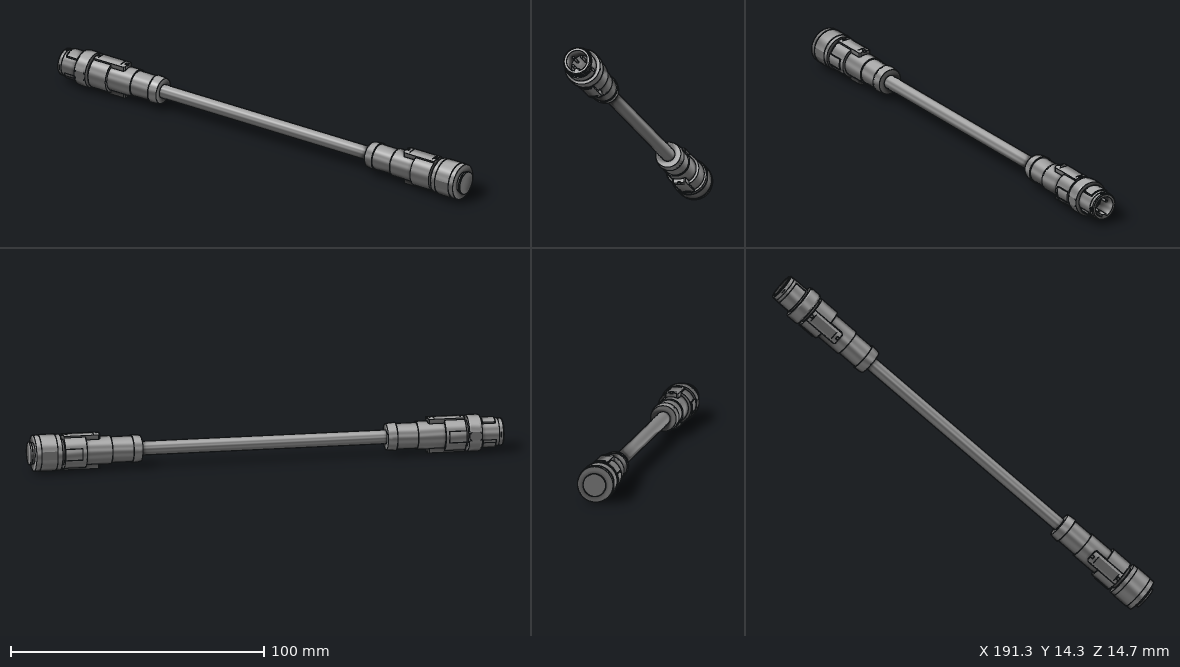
import cadquery as cq
import math

length = 191.3

cable_radius = 5.5 / 2
sleeve_radius = 5.2
collar_radius = 11.3 / 2
grip_radius = 6.7
nut_radius = 14.7 / 2
neck_radius = 5.2

cut_margin = 2.0

nose_start = 2.0
plug_nut_start = 9.2
plug_nut_end = 14.3
plug_grip_start = 15.5
plug_grip_end = 23.7
plug_collar_end = 34.6
plug_bead_start = 43.0
plug_end = 46.9

socket_end = 146.2
socket_bead_end = 149.8
socket_collar_start = 158.4
socket_grip_start = 169.0
socket_grip_end = 177.7
socket_nut_start = 179.0
socket_band_start = 181.0
socket_band_end = 187.5
socket_nut_end = 189.5

nose_radius = collar_radius
tip_radius = 5.5
tip_chamfer = 0.4
cavity_radius = 4.2
cavity_depth = 8.0
pin_radius = 0.48
pin_offset = 1.7
pin_start = 1.0
pin_embed = 0.2
key_half_width = 1.0
key_crest = 3.3
notch_length = 1.1
notch_depth = 0.2
pad_radius = 6.1
pad_start = 3.3
pad_end = 8.5
top_pad_half_width = 7.5 / 2
bottom_pad_half_width = 10.5 / 2

nut_chamfer_length = 0.8
nut_chamfer_height = 0.2
nut_flat = 14.3 / 2
socket_rim_radius = nut_flat

spigot_radius = 4.2
spigot_lip_radius = 4.5
spigot_lip_length = 0.8

ridge_radius = 7.3
ridge_half_width = 2.7
ridge_flat = 7.0
ridge_length = 14.7
ridge_nut_margin = 1.5
ridge_cable_margin = 2.5
ridge_corner = 0.5
ridge_mark_half_width = 0.5
ridge_mark_length = 1.1

grip_pad_radius = 7.0
grip_pad_length = 6.9
grip_pad_half_height = 2.3


def cylinder(start, end, radius):
    """Cylinder on the X axis between two stations."""
    return cq.Workplane("YZ").workplane(offset=start).circle(radius).extrude(end - start)


def block(x_range, y_range, z_range):
    """Box given by its limits along each axis."""
    size = [high - low for low, high in (x_range, y_range, z_range)]
    corner = (x_range[0], y_range[0], z_range[0])
    return cq.Workplane("XY").box(*size, centered=False).translate(corner)


def bead(sleeve_side, cable_side):
    """Raised bead at the cable end of a connector, rounded down to the sleeve radius."""
    bead_length = abs(cable_side - sleeve_side)
    bead_drop = collar_radius - sleeve_radius
    arc_radius = (bead_length**2 + bead_drop**2) / (2 * bead_drop)
    middle = (sleeve_side + cable_side) / 2
    middle_drop = arc_radius - math.sqrt(arc_radius**2 - (bead_length / 2) ** 2)
    profile = (
        cq.Workplane("XY")
        .moveTo(sleeve_side, 0)
        .lineTo(sleeve_side, collar_radius)
        .threePointArc((middle, collar_radius - middle_drop), (cable_side, sleeve_radius))
        .lineTo(cable_side, 0)
        .close()
    )
    return profile.revolve(360, (0, 0, 0), (1, 0, 0))


def nut(start, end):
    """Coupling nut with both rims bevelled and a flat on the +Y and -Y sides."""
    bevel_radius = nut_radius - nut_chamfer_height
    profile = cq.Workplane("XY").polyline(
        [
            (start, 0),
            (start, bevel_radius),
            (start + nut_chamfer_length, nut_radius),
            (end - nut_chamfer_length, nut_radius),
            (end, bevel_radius),
            (end, 0),
        ]
    )
    return profile.close().revolve(360, (0, 0, 0), (1, 0, 0))


def side_flats(start, end):
    """Material outside the two nut flats, to be cut away."""
    z_range = (-nut_radius, nut_radius)
    right = block((start, end), (nut_flat, nut_radius + cut_margin), z_range)
    return right.union(right.mirror("XZ"))


def ridges(start, nut_at_start):
    """Opposed grip ridges on +Z and -Z, each crest with a flat panel and a notch at both ends."""
    end = start + ridge_length
    strip = block((start, end), (-ridge_half_width, ridge_half_width), (-ridge_radius, ridge_radius))
    cable_face = ">X" if nut_at_start else "<X"
    strip = strip.faces(cable_face).edges("|Z").chamfer(ridge_corner)
    body = cylinder(start, end, ridge_radius).intersect(strip)
    margins = [ridge_nut_margin, ridge_cable_margin]
    if not nut_at_start:
        margins.reverse()
    panel_range = (start + margins[0], end - margins[1])
    panel = block(panel_range, (-ridge_half_width, ridge_half_width), (ridge_flat, nut_radius))
    for mark_start in (start, end - ridge_mark_length):
        mark = block(
            (mark_start, mark_start + ridge_mark_length),
            (-ridge_mark_half_width, ridge_mark_half_width),
            (grip_radius, nut_radius),
        )
        panel = panel.union(mark)
    return body.cut(panel).cut(panel.mirror("XY"))


def grip_pad(start):
    """Curved pad on the +Y side of a grip."""
    end = start + grip_pad_length
    window = block((start, end), (0, grip_pad_radius), (-grip_pad_half_height, grip_pad_half_height))
    return cylinder(start, end, grip_pad_radius).intersect(window)


def nose_pads():
    """Curved pads on the top and bottom of the plug nose."""
    ring = cylinder(pad_start, pad_end, pad_radius)
    top = block(
        (pad_start, pad_end),
        (-top_pad_half_width, top_pad_half_width),
        (0, pad_radius),
    )
    bottom = block(
        (pad_start, pad_end),
        (-bottom_pad_half_width, bottom_pad_half_width),
        (-pad_radius, 0),
    )
    return ring.intersect(top.union(bottom))


def tip_notches():
    """Four shallow flats around the rim of the plug nose."""
    side = 2 * (nose_radius - notch_depth)
    rim = cylinder(0, notch_length, nose_radius + cut_margin)
    core = cq.Workplane("YZ").rect(side, side).extrude(notch_length)
    return rim.cut(core)


def plug_cavity():
    """Round cavity in the nose, less the coding key that stands on its lower wall."""
    key = block(
        (0, cavity_depth),
        (-key_half_width, key_half_width),
        (-cavity_radius, -key_crest),
    )
    return cylinder(0, cavity_depth, cavity_radius).cut(key)


def pins():
    """Three contact pins standing on the cavity floor."""
    places = [
        (pin_offset, pin_offset),
        (-pin_offset, pin_offset),
        (pin_offset, -pin_offset),
    ]
    plane = cq.Workplane("YZ").workplane(offset=pin_start)
    return plane.pushPoints(places).circle(pin_radius).extrude(cavity_depth - pin_start + pin_embed)


def plug():
    nose = cylinder(0, nose_start, tip_radius).faces("<X").chamfer(tip_chamfer)
    body = (
        nose.union(cylinder(nose_start, plug_nut_start, nose_radius))
        .cut(tip_notches())
        .union(nose_pads())
        .union(nut(plug_nut_start, plug_nut_end).cut(side_flats(plug_nut_start, plug_nut_end)))
        .union(cylinder(plug_nut_end, plug_grip_start, neck_radius))
        .union(cylinder(plug_grip_start, plug_grip_end, grip_radius))
        .union(cylinder(plug_grip_end, plug_collar_end, collar_radius))
        .union(cylinder(plug_collar_end, plug_bead_start, sleeve_radius))
        .union(bead(plug_bead_start, plug_end))
        .union(ridges(plug_grip_start, True))
        .union(grip_pad(plug_grip_start))
    )
    return body.cut(plug_cavity()).union(pins())


def socket():
    lip_start = length - spigot_lip_length
    band = cylinder(socket_band_start, socket_band_end, nut_radius)
    band = band.cut(side_flats(socket_band_start, socket_band_end))
    return (
        bead(socket_bead_end, socket_end)
        .union(cylinder(socket_bead_end, socket_collar_start, sleeve_radius))
        .union(cylinder(socket_collar_start, socket_grip_start, collar_radius))
        .union(cylinder(socket_grip_start, socket_grip_end, grip_radius))
        .union(ridges(socket_grip_end - ridge_length, False))
        .union(grip_pad(socket_grip_end - grip_pad_length))
        .union(cylinder(socket_grip_end, socket_nut_start, neck_radius))
        .union(cylinder(socket_nut_start, socket_nut_end, socket_rim_radius))
        .union(band)
        .union(cylinder(socket_nut_end, lip_start, spigot_radius))
        .union(cylinder(lip_start, length, spigot_lip_radius))
    )


cable = cylinder(plug_end, socket_end, cable_radius)
result = plug().union(cable).union(socket())